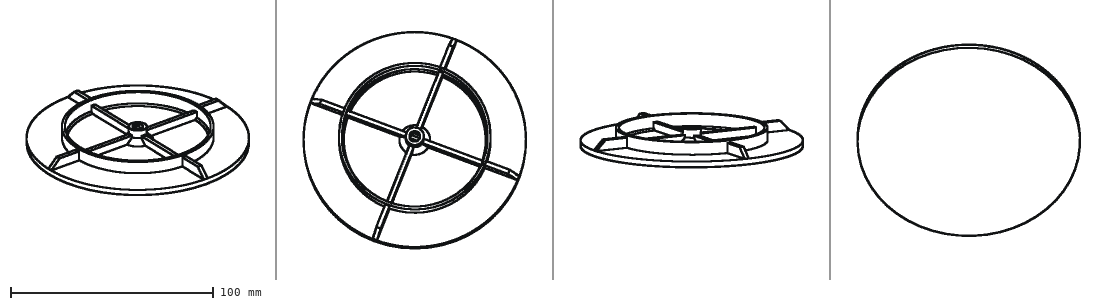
import cadquery as cq

disc_diameter = 110.0
disc_thickness = 3.0
total_height = 9.2

ring_outer_diameter = 75.0
ring_inner_diameter = 72.0
floor_height = 2.0
floor_chamfer = disc_thickness - floor_height

hub_diameter = 9.0
foot_flare = 3.1
foot_diameter = hub_diameter + 2 * foot_flare

bore_diameter = 5.2
bore_flat_spacing = 3.0
mouth_depth = 1.0
bore_floor_height = disc_thickness

rib_width = 2.3
outer_rib_top = 8.0
inner_rib_top = 6.0
outer_rib_reach = 54.9
outer_rib_slope_run = outer_rib_top - disc_thickness
ring_middle_radius = (ring_outer_diameter + ring_inner_diameter) / 4
rib_count = 4


def cylinder(diameter, bottom, top):
    """Upright cylinder centred on the Z axis."""
    return cq.Workplane("XY").workplane(offset=bottom).circle(diameter / 2).extrude(top - bottom)


def make_dish():
    """Disc and ring with a chamfered recess inside the ring."""
    disc = cylinder(disc_diameter, 0, disc_thickness)
    ring = cylinder(ring_outer_diameter, 0, total_height)
    recess = cylinder(ring_inner_diameter, floor_height, total_height)
    recess = recess.faces("<Z").chamfer(floor_chamfer)
    return disc.union(ring).cut(recess)


def make_rib():
    """One radial rib along +X, from the hub axis through the ring to the rim."""
    profile = (
        cq.Workplane("XZ")
        .moveTo(0, floor_height)
        .lineTo(ring_middle_radius, floor_height)
        .lineTo(ring_middle_radius, disc_thickness)
        .lineTo(outer_rib_reach, disc_thickness)
        .lineTo(outer_rib_reach - outer_rib_slope_run, outer_rib_top)
        .lineTo(ring_middle_radius, outer_rib_top)
        .lineTo(ring_middle_radius, inner_rib_top)
        .lineTo(0, inner_rib_top)
        .close()
    )
    return profile.extrude(rib_width / 2, both=True)


def make_hub():
    """Solid cylinder standing on a 45 degree conical foot."""
    foot = (
        cq.Workplane("XY")
        .workplane(offset=floor_height)
        .circle(foot_diameter / 2)
        .workplane(offset=foot_flare)
        .circle(hub_diameter / 2)
        .loft()
    )
    return cylinder(hub_diameter, floor_height, total_height).union(foot)


def make_bore():
    """Round mouth leading into a narrower bore with flats facing X."""
    mouth = cylinder(bore_diameter, total_height - mouth_depth, total_height)
    bore = cylinder(bore_diameter, bore_floor_height, total_height)
    flats = cq.Workplane("XY").box(
        bore_flat_spacing, bore_diameter, total_height, centered=(True, True, False)
    )
    return bore.intersect(flats).union(mouth)


result = make_dish().union(make_hub())
for index in range(rib_count):
    angle = index * 360 / rib_count
    result = result.union(make_rib().rotate((0, 0, 0), (0, 0, 1), angle))
result = result.cut(make_bore())